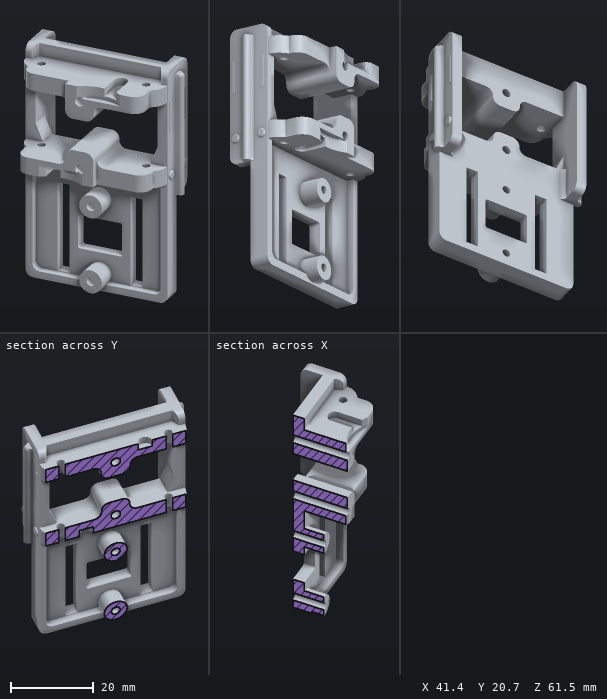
import cadquery as cq
import math


height = 61.55
frame_width = 37.9
back_y = 11.1
shelf_front_y = -9.6
panel_front_y = 2.05
panel_back_y = 5.1
plate_thickness = 2.7
plate_bottom_z = 27.15
corner_radius = 2.05
frame_half = frame_width / 2
inner_half = frame_half - plate_thickness

shelf_thickness = 4.5
upper_shelf_top_z = 58.0
lower_shelf_bottom_z = 31.95
turn_z = (upper_shelf_top_z + lower_shelf_bottom_z) / 2
upper_shelf_bottom_z = upper_shelf_top_z - shelf_thickness
lower_shelf_top_z = lower_shelf_bottom_z + shelf_thickness
upper_shelf_half = 16.25
lower_shelf_half = 16.85
shelf_corner_radius = 3.0
recess_front_y = -7.65
ear_half = 18.85
ear_arc_middle = (18.5, -1.65)
ear_arc_end = (17.65, -3.1)
neck_slope = 0.9
shelf_hole_x = 14.0
shelf_hole_y = -1.5
shelf_hole_diameter = 2.15

upper_tab_half = 3.8
lower_tab_half = 3.7
tab_drop = 4.4
tab_corner_radius = 2.1
tab_root_radius = 2.0
tab_hole_diameter = 2.35
tab_hole_offset = 0.45
slot_x = 7.65
slot_width = 3.6
slot_back_y = -0.55
slot_depth = 2.05
relief_x = 5.05
relief_half_chord = 5.8
relief_sagitta = 1.7
relief_depth = 3.1

pocket_half = 17.1
pocket_bottom_z = 1.9
pocket_corner_radius = 1.85
top_notch_front_half = 17.3
window_sill_half = 14.3
window_slope_top_z = 41.1
side_slot_x = 9.7
side_slot_width = 3.2
side_slot_bottom_z = 2.1
side_slot_top_z = 25.5
port_width = 11.8
port_height = 8.85
port_center_z = 13.55
port_corner_radius = 0.6

boss_diameter = 6.05
boss_hole_diameter = 2.15
boss_front_y = -3.3
boss_heights = (3.6, 23.45)

overall_width = 41.4
rail_y = 5.65
rail_top_z = 58.5
bead_radius = 1.0
flare_half = 1.9
rib_width = 0.75
rib_proud = 0.2
rib_bottom_z = 45.25
rib_top_z = 53.7
rib_ys = (1.4, 10.0)
bump_z = 33.6
bump_ys = (1.85, 9.4)
bump_radius = 1.2
bump_proud = 0.5
bump_rounding = 0.45

gusset_leg = 1.1


def block(x0, x1, y0, y1, z0, z1):
    """Axis-aligned box between two opposite corners."""
    return cq.Workplane("XY").box(x1 - x0, y1 - y0, z1 - z0, centered=False).translate((x0, y0, z0))


def both_sides(solid):
    """The solid together with its mirror image across X = 0."""
    return solid.union(solid.mirror("YZ"))


def frame():
    """Flat panel with a side plate on each edge, wide open at the back."""
    panel = block(-frame_half, frame_half, 0, panel_back_y, 0, height)
    panel = panel.edges("|Y and <Z").fillet(corner_radius)
    top_trim = block(-frame_half, frame_half, 0, panel_front_y, upper_shelf_top_z, height)
    panel = panel.cut(top_trim)
    plate = block(inner_half, frame_half, 0, back_y, plate_bottom_z, height)
    plate = plate.edges("|X and >Z").fillet(corner_radius)
    plate = plate.edges("|X and <Z and >Y").fillet(corner_radius)
    gusset = (
        cq.Workplane("XY", origin=(0, 0, plate_bottom_z))
        .moveTo(inner_half, panel_back_y)
        .lineTo(inner_half - gusset_leg, panel_back_y)
        .lineTo(inner_half, panel_back_y + gusset_leg)
        .close()
        .extrude(lower_shelf_top_z - plate_bottom_z)
    )
    return panel.union(both_sides(plate.union(gusset)))


def top_notch():
    """Recess above the upper shelf, its ends flaring toward the front."""
    return (
        cq.Workplane("XY", origin=(0, 0, upper_shelf_top_z))
        .moveTo(-top_notch_front_half, 0)
        .lineTo(top_notch_front_half, 0)
        .lineTo(inner_half, panel_front_y)
        .lineTo(-inner_half, panel_front_y)
        .close()
        .extrude(height - upper_shelf_top_z)
    )


def window():
    """Large opening between the shelves with sloped lower corners."""
    return (
        cq.Workplane("XZ")
        .moveTo(-window_sill_half, lower_shelf_top_z)
        .lineTo(window_sill_half, lower_shelf_top_z)
        .lineTo(inner_half, window_slope_top_z)
        .lineTo(inner_half, upper_shelf_bottom_z)
        .lineTo(-inner_half, upper_shelf_bottom_z)
        .lineTo(-inner_half, window_slope_top_z)
        .close()
        .extrude(-panel_back_y)
    )


def lower_openings():
    """Shallow front pocket, two tall slots and the rounded port."""
    pocket = block(-pocket_half, pocket_half, 0, panel_front_y, pocket_bottom_z, lower_shelf_bottom_z)
    pocket = pocket.edges("|Y and <Z").fillet(pocket_corner_radius)
    slot = block(
        side_slot_x - side_slot_width / 2, side_slot_x + side_slot_width / 2,
        0, panel_back_y, side_slot_bottom_z, side_slot_top_z,
    )
    port = block(
        -port_width / 2, port_width / 2, 0, panel_back_y,
        port_center_z - port_height / 2, port_center_z + port_height / 2,
    )
    port = port.edges("|Y").fillet(port_corner_radius)
    return pocket.union(both_sides(slot)).union(port)


def shelf_half_plate(half_width, front_y):
    """Right half of a shelf: an ear beside the frame, then a narrower rounded front."""
    neck_y = ear_arc_end[1] - neck_slope * (ear_arc_end[0] - half_width)
    plate = (
        cq.Workplane("XY", origin=(0, 0, upper_shelf_bottom_z))
        .moveTo(0, panel_front_y)
        .lineTo(ear_half, panel_front_y)
        .lineTo(ear_half, 0)
        .threePointArc(ear_arc_middle, ear_arc_end)
        .lineTo(half_width, neck_y)
        .lineTo(half_width, front_y)
        .lineTo(0, front_y)
        .close()
        .extrude(shelf_thickness)
    )
    front_corner = cq.selectors.NearestToPointSelector((half_width, front_y, turn_z))
    return plate.edges("|Z").edges(front_corner).fillet(shelf_corner_radius)


def tab_root(tab_half, front_y):
    """Concave blend between the right side of the tab and the shelf underside."""
    outer_x = tab_half + tab_root_radius
    low_z = upper_shelf_bottom_z - tab_root_radius
    root = block(tab_half, outer_x, front_y, panel_back_y, low_z, upper_shelf_bottom_z)
    scoop = (
        cq.Workplane("XZ", origin=(outer_x, front_y, low_z))
        .circle(tab_root_radius)
        .extrude(front_y - panel_back_y)
    )
    return root.cut(scoop)


def tab(tab_half):
    """Screw tab hanging below the shelf, blended into its underside."""
    low_z = upper_shelf_bottom_z - tab_drop
    body = block(-tab_half, tab_half, shelf_front_y, panel_back_y, low_z, upper_shelf_top_z)
    body = body.edges("|Y and <Z").fillet(tab_corner_radius)
    full_root = tab_root(tab_half, shelf_front_y)
    recessed_root = tab_root(tab_half, recess_front_y).mirror("YZ")
    return body.union(full_root).union(recessed_root)


def nut_slot_and_relief():
    """Round-ended slot and shallow round relief, both open to the shelf top and front."""
    relief_radius = (relief_half_chord**2 + relief_sagitta**2) / (2 * relief_sagitta)
    relief = (
        cq.Workplane("XY", origin=(relief_x, 0, upper_shelf_top_z))
        .center(0, shelf_front_y + relief_sagitta - relief_radius)
        .circle(relief_radius)
        .extrude(-relief_depth)
    )
    end_y = slot_back_y - slot_width / 2
    slot = block(
        slot_x - slot_width / 2, slot_x + slot_width / 2, shelf_front_y, end_y,
        upper_shelf_top_z - slot_depth, upper_shelf_top_z,
    )
    slot_end = (
        cq.Workplane("XY", origin=(slot_x, end_y, upper_shelf_top_z))
        .circle(slot_width / 2)
        .extrude(-slot_depth)
    )
    return relief.union(slot).union(slot_end)


def shelf(half_width, tab_half):
    """Complete shelf in the upper position, set back on its left front."""
    full_side = shelf_half_plate(half_width, shelf_front_y)
    recessed_side = shelf_half_plate(half_width, recess_front_y).mirror("YZ")
    holes = (
        cq.Workplane("XY", origin=(0, shelf_hole_y, upper_shelf_bottom_z))
        .pushPoints([(-shelf_hole_x, 0), (shelf_hole_x, 0)])
        .circle(shelf_hole_diameter / 2)
        .extrude(shelf_thickness)
    )
    body = full_side.union(recessed_side).union(tab(tab_half))
    return body.cut(holes).cut(nut_slot_and_relief())


def half_turn(solid):
    """Turn the solid upside down about the Y axis midway between the shelves."""
    return solid.rotate((0, 0, turn_z), (0, 1, turn_z), 180)


def tab_hole():
    """Screw hole through the upper tab and the panel behind it."""
    return (
        cq.Workplane("XZ", origin=(0, shelf_front_y, upper_shelf_bottom_z + tab_hole_offset))
        .circle(tab_hole_diameter / 2)
        .extrude(shelf_front_y - panel_back_y)
    )


def boss(z):
    """Round standoff rising from the pocket floor."""
    return (
        cq.Workplane("XZ", origin=(0, boss_front_y, z))
        .circle(boss_diameter / 2)
        .extrude(boss_front_y - panel_front_y)
    )


def boss_hole(z):
    """Hole through a boss and the panel."""
    return (
        cq.Workplane("XZ", origin=(0, boss_front_y, z))
        .circle(boss_hole_diameter / 2)
        .extrude(boss_front_y - panel_back_y)
    )


def rail():
    """Round bead on a foot that flares into the plate, with a ball end and an arched foot end."""
    bead_x = overall_width / 2 - bead_radius
    tip_z = rail_top_z + bead_radius
    bead = (
        cq.Workplane("XY", origin=(bead_x, rail_y, plate_bottom_z))
        .circle(bead_radius)
        .extrude(rail_top_z - plate_bottom_z)
    )
    ball = cq.Workplane("XY").sphere(bead_radius).translate((bead_x, rail_y, rail_top_z))

    foot_height = bead_x - frame_half
    flare_width = flare_half - bead_radius
    flare_radius = (flare_width**2 + foot_height**2) / (2 * flare_width)
    bend = flare_radius * math.sqrt(0.5)
    bend_x = bead_x - bend
    bend_half = bead_radius + flare_radius - bend
    foot = (
        cq.Workplane("XY", origin=(0, rail_y, plate_bottom_z))
        .moveTo(frame_half, -flare_half)
        .threePointArc((bend_x, -bend_half), (bead_x, -bead_radius))
        .lineTo(bead_x, bead_radius)
        .threePointArc((bend_x, bend_half), (frame_half, flare_half))
        .close()
        .extrude(tip_z - plate_bottom_z)
    )
    arched_outline = (
        cq.Workplane("YZ", origin=(frame_half, rail_y, 0))
        .moveTo(-flare_half, plate_bottom_z)
        .lineTo(flare_half, plate_bottom_z)
        .lineTo(flare_half, rail_top_z)
        .threePointArc((0, tip_z), (-flare_half, rail_top_z))
        .close()
        .extrude(foot_height)
    )
    return bead.union(ball).union(foot.intersect(arched_outline))


def side_details():
    """Rail, thin ribs and snap bumps on the right outer face."""
    details = rail()
    for y in rib_ys:
        details = details.union(block(
            frame_half, frame_half + rib_proud,
            y - rib_width / 2, y + rib_width / 2, rib_bottom_z, rib_top_z,
        ))
    for y in bump_ys:
        bump = (
            cq.Workplane("YZ", origin=(frame_half, y, bump_z))
            .circle(bump_radius)
            .extrude(bump_proud)
            .faces(">X")
            .edges()
            .fillet(bump_rounding)
        )
        details = details.union(bump)
    return details


result = frame().cut(top_notch()).cut(window()).cut(lower_openings())
result = result.union(shelf(upper_shelf_half, upper_tab_half))
result = result.union(half_turn(shelf(lower_shelf_half, lower_tab_half)))
result = result.cut(tab_hole()).cut(half_turn(tab_hole()))
for boss_z in boss_heights:
    result = result.union(boss(boss_z)).cut(boss_hole(boss_z))
result = result.union(both_sides(side_details()))